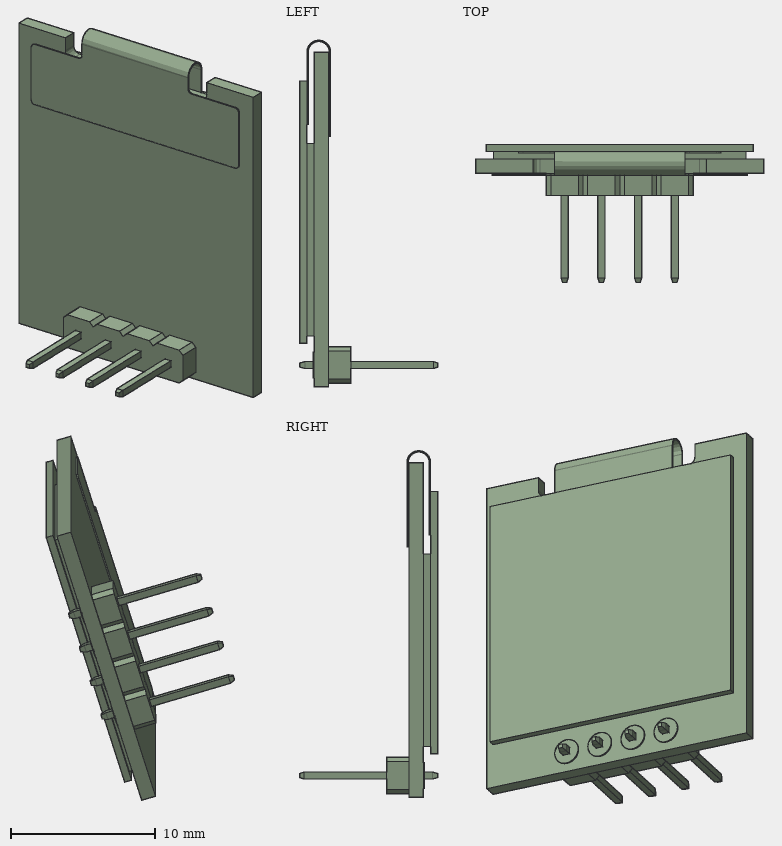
import cadquery as cq


TOTAL_HEIGHT = 23.93

GLASS_THICKNESS = 0.5
COVER_WIDTH = 18.45
COVER_HEIGHT = 18.12
COVER_TOP_DROP = 1.99
GLASS_STEP = 0.5
BASE_GLASS_HEIGHT = 13.3

CABLE_THICKNESS = 0.1
CABLE_GAP = 0.035
STRIP_WIDTH = 9.02
FRONT_FLAG_WIDTH = 17.61
FRONT_FLAG_TOP_DROP = 1.17
FRONT_FLAG_BOTTOM_DROP = 5.81
REAR_FLAG_WIDTH = 14.0
REAR_FLAG_TOP_DROP = 2.1
REAR_FLAG_BOTTOM_DROP = 5.0
FLAG_CORNER_RADIUS = 0.3

BOARD_WIDTH = 19.9
BOARD_THICKNESS = 1.0
NOTCH_WIDTH = 12.0
NOTCH_DEPTH = 1.5
NOTCH_CORNER_RADIUS = 0.5
PAD_DIAMETER = 1.8
PAD_THICKNESS = 0.1

PIN_COUNT = 4
PIN_PITCH = 2.54
HEADER_Z = 1.5
HEADER_DEPTH = 1.53
HEADER_CHAMFER = 0.3
PIN_WIDTH = 0.5
PIN_FRONT_REACH = 7.54
PIN_REAR_REACH = 2.0
FRONT_TIP_LENGTH = 0.3
REAR_TIP_LENGTH = 0.38
TIP_WIDTH = 0.29

COVER_FRONT_Y = BOARD_THICKNESS + GLASS_THICKNESS
BEND_RADIUS = (COVER_FRONT_Y + CABLE_GAP + CABLE_THICKNESS) / 2
BEND_Y = COVER_FRONT_Y - BEND_RADIUS
BOARD_HEIGHT = TOTAL_HEIGHT - BEND_RADIUS
PIN_XS = [PIN_PITCH * (i - (PIN_COUNT - 1) / 2) for i in range(PIN_COUNT)]


def box(width, y_min, y_max, z_min, z_max):
    """A block centred on X = 0 between the given Y and Z limits."""
    block = cq.Workplane("XY").box(width, y_max - y_min, z_max - z_min, centered=(True, False, False))
    return block.translate((0, y_min, z_min))


def pin_bar(x, y_min, y_max):
    """A straight square bar with the cross-section of a pin, on the axis of the pin at x."""
    bar = box(PIN_WIDTH, y_min, y_max, HEADER_Z - PIN_WIDTH / 2, HEADER_Z + PIN_WIDTH / 2)
    return bar.translate((x, 0, 0))


def make_board():
    board = box(BOARD_WIDTH, 0, BOARD_THICKNESS, 0, BOARD_HEIGHT)
    notch = box(NOTCH_WIDTH, 0, BOARD_THICKNESS, BOARD_HEIGHT - NOTCH_DEPTH, BOARD_HEIGHT)
    notch = notch.edges("|Y and <Z").fillet(NOTCH_CORNER_RADIUS)
    board = board.cut(notch)
    pads = (
        cq.Workplane("XZ", origin=(0, BOARD_THICKNESS, HEADER_Z))
        .pushPoints([(x, 0) for x in PIN_XS])
        .circle(PAD_DIAMETER / 2)
        .extrude(-PAD_THICKNESS)
    )
    board = board.union(pads)
    for x in PIN_XS:
        board = board.cut(pin_bar(x, 0, BOARD_THICKNESS + PAD_THICKNESS))
    return board


def cable_sheet(front_y, flag_width, flag_top_drop, flag_bottom_drop):
    """One straight side of the cable: the strip and its flag, with rounded flag corners."""
    back_y = front_y + CABLE_THICKNESS
    flag_top = BOARD_HEIGHT - flag_top_drop
    flag = box(flag_width, front_y, back_y, BOARD_HEIGHT - flag_bottom_drop, flag_top)
    strip = box(STRIP_WIDTH, front_y, back_y, flag_top, BOARD_HEIGHT)
    return flag.union(strip).edges("|Y and (not >Z)").fillet(FLAG_CORNER_RADIUS)


def make_cable():
    """Front and rear sheets joined by a half-round bend above the board."""
    front_sheet_y = -CABLE_GAP - CABLE_THICKNESS
    rear_sheet_y = COVER_FRONT_Y - CABLE_THICKNESS
    front = cable_sheet(front_sheet_y, FRONT_FLAG_WIDTH, FRONT_FLAG_TOP_DROP, FRONT_FLAG_BOTTOM_DROP)
    rear = cable_sheet(rear_sheet_y, REAR_FLAG_WIDTH, REAR_FLAG_TOP_DROP, REAR_FLAG_BOTTOM_DROP)
    inner_radius = BEND_RADIUS - CABLE_THICKNESS
    bend = (
        cq.Workplane("YZ", origin=(-STRIP_WIDTH / 2, BEND_Y, BOARD_HEIGHT))
        .moveTo(-BEND_RADIUS, 0)
        .threePointArc((0, BEND_RADIUS), (BEND_RADIUS, 0))
        .lineTo(inner_radius, 0)
        .threePointArc((0, inner_radius), (-inner_radius, 0))
        .close()
        .extrude(STRIP_WIDTH)
    )
    return front.union(bend).union(rear)


def make_display():
    """Cover glass, base glass and cable as one solid."""
    cover_top = BOARD_HEIGHT - COVER_TOP_DROP
    cover_bottom = cover_top - COVER_HEIGHT
    cover = box(COVER_WIDTH, COVER_FRONT_Y, COVER_FRONT_Y + GLASS_THICKNESS, cover_bottom, cover_top)
    base_bottom = cover_bottom + GLASS_STEP
    base_top = base_bottom + BASE_GLASS_HEIGHT
    base_width = COVER_WIDTH - 2 * GLASS_STEP
    base_glass = box(base_width, BOARD_THICKNESS, COVER_FRONT_Y, base_bottom, base_top)
    return cover.union(base_glass).union(make_cable())


def make_header():
    """A row of chamfered square blocks joined side by side, with a square hole for each pin."""
    header = cq.Workplane("XY")
    for x in PIN_XS:
        block = box(PIN_PITCH, -HEADER_DEPTH, 0, HEADER_Z - PIN_PITCH / 2, HEADER_Z + PIN_PITCH / 2)
        block = block.edges("|Y").chamfer(HEADER_CHAMFER).translate((x, 0, 0))
        header = header.union(block)
    for x in PIN_XS:
        header = header.cut(pin_bar(x, -HEADER_DEPTH, 0))
    return header


def pin_tip(x, base_y, length):
    """A tapered pin end; a negative length points it toward -Y."""
    return (
        cq.Workplane(cq.Plane((x, base_y, HEADER_Z), xDir=(1, 0, 0), normal=(0, length, 0)))
        .rect(PIN_WIDTH, PIN_WIDTH)
        .workplane(offset=abs(length))
        .rect(TIP_WIDTH, TIP_WIDTH)
        .loft(ruled=True)
    )


def make_pin(x):
    front_end = -PIN_FRONT_REACH + FRONT_TIP_LENGTH
    rear_end = PIN_REAR_REACH - REAR_TIP_LENGTH
    shank = pin_bar(x, front_end, rear_end)
    return shank.union(pin_tip(x, front_end, -FRONT_TIP_LENGTH)).union(pin_tip(x, rear_end, REAR_TIP_LENGTH))


board = make_board()
display = make_display()
header = make_header()
pins = [make_pin(x) for x in PIN_XS]

result = cq.Compound.makeCompound([board.val(), display.val(), header.val(), *[pin.val() for pin in pins]])